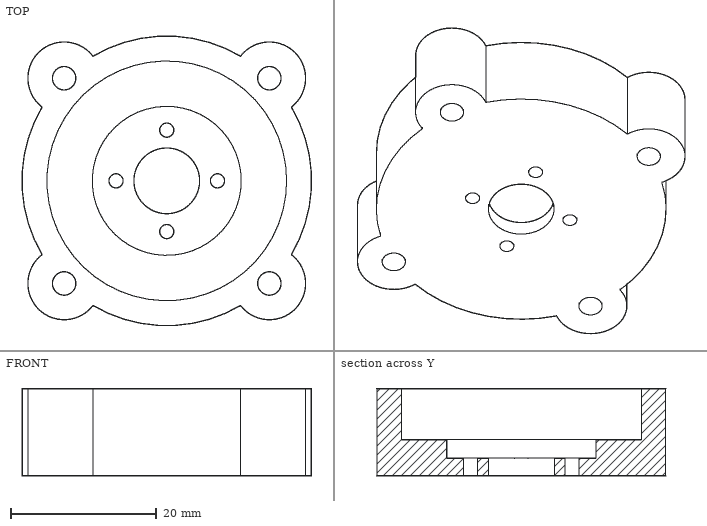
import cadquery as cq

body_diameter = 39.88
height = 12.0

bore_diameter = 33.0
bore_depth = 7.0
recess_diameter = 20.5
recess_depth = 2.5
center_hole_diameter = 9.0

floor_hole_diameter = 1.9
floor_hole_radius = 6.98

ear_diameter = 10.0
ear_hole_diameter = 3.2
ear_offset = 14.1

ear_centers = [(x, y) for x in (-ear_offset, ear_offset) for y in (-ear_offset, ear_offset)]
floor_hole_centers = [
    (floor_hole_radius, 0),
    (0, floor_hole_radius),
    (-floor_hole_radius, 0),
    (0, -floor_hole_radius),
]


def cylinders(centers, diameter, bottom=0.0):
    """Upright cylinders from the bottom level to the top face of the part."""
    base = cq.Workplane("XY").workplane(offset=bottom)
    return base.pushPoints(centers).circle(diameter / 2).extrude(height - bottom)


axis = [(0, 0)]
bore_floor = height - bore_depth
recess_floor = bore_floor - recess_depth

result = cylinders(axis, body_diameter).union(cylinders(ear_centers, ear_diameter))

result = result.cut(cylinders(axis, bore_diameter, bore_floor))
result = result.cut(cylinders(axis, recess_diameter, recess_floor))

result = result.cut(cylinders(axis, center_hole_diameter))
result = result.cut(cylinders(floor_hole_centers, floor_hole_diameter))
result = result.cut(cylinders(ear_centers, ear_hole_diameter))